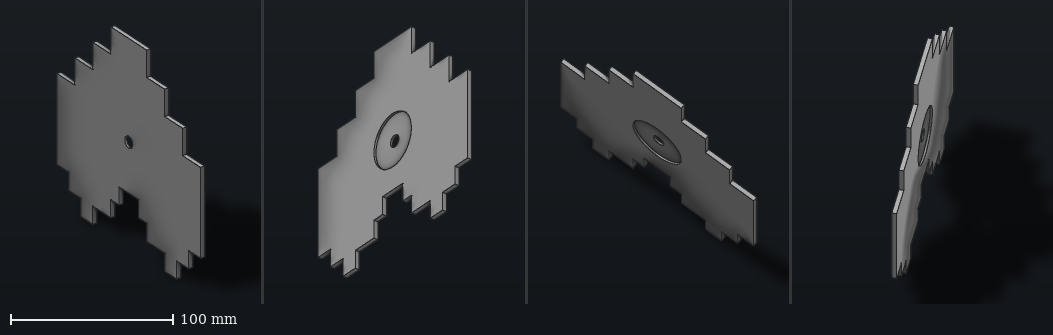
import cadquery as cq

width = 152.4
thickness = 3.2

upper_step = width / 8
lower_step = width / 12
side_height = 5 * lower_step

slot_half_width = 10.2
hole_diameter = 8.2
recess_diameter = 38.1
recess_depth = 1.5
hole_below_shoulder = 15.2

foot_top = lower_step
side_bottom = 2 * lower_step
slot_top = 3 * lower_step
shoulder = side_bottom + side_height
hole_height = shoulder - hole_below_shoulder

half_width = width / 2
foot_inner = 2 * upper_step
foot_outer = foot_inner + lower_step
right_half = [
    (slot_half_width, slot_top),
    (slot_half_width, side_bottom),
    (upper_step, side_bottom),
    (upper_step, foot_top),
    (foot_inner, foot_top),
    (foot_inner, 0),
    (foot_outer, 0),
    (foot_outer, foot_top),
    (half_width - lower_step, foot_top),
    (half_width - lower_step, side_bottom),
    (half_width, side_bottom),
    (half_width, shoulder),
]
for step in range(1, 4):
    x = half_width - step * upper_step
    right_half.append((x, shoulder + (step - 1) * upper_step))
    right_half.append((x, shoulder + step * upper_step))

left_half = [(-x, z) for x, z in reversed(right_half)]

plate = (
    cq.Workplane("XZ")
    .polyline(right_half + left_half)
    .close()
    .extrude(thickness / 2, both=True)
)

hole = (
    cq.Workplane("XZ")
    .center(0, hole_height)
    .circle(hole_diameter / 2)
    .extrude(thickness, both=True)
)

recess = (
    cq.Workplane("XZ", origin=(0, thickness / 2, hole_height))
    .circle(recess_diameter / 2)
    .extrude(recess_depth)
)

result = plate.cut(hole).cut(recess)